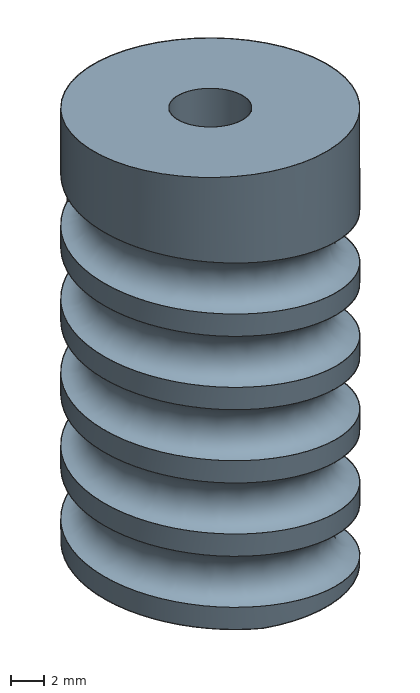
import cadquery as cq

length = 31.0
outer_diameter = 18.0
bore_diameter = 5.0
groove_radius = 1.75
groove_pitch = 5.0
groove_end_depth = 6.0
groove_turns = 5.5

outer_radius = outer_diameter / 2
groove_rise = groove_turns * groove_pitch
groove_start_z = length - groove_end_depth - groove_rise


def drum():
    """Plain cylinder with a through bore, standing on the XY plane."""
    return (
        cq.Workplane("XY")
        .circle(outer_radius)
        .circle(bore_diameter / 2)
        .extrude(length)
    )


def helical_groove():
    """Left-handed round rope groove, from +X below the base up to a flat end at -X."""
    helix = cq.Wire.makeHelix(groove_pitch, groove_rise, outer_radius, lefthand=True)
    cutter = (
        cq.Workplane("XZ")
        .center(outer_radius, 0)
        .circle(groove_radius)
        .sweep(cq.Workplane(obj=helix), isFrenet=True)
    )
    return cutter.translate((0, 0, groove_start_z))


result = drum().cut(helical_groove())